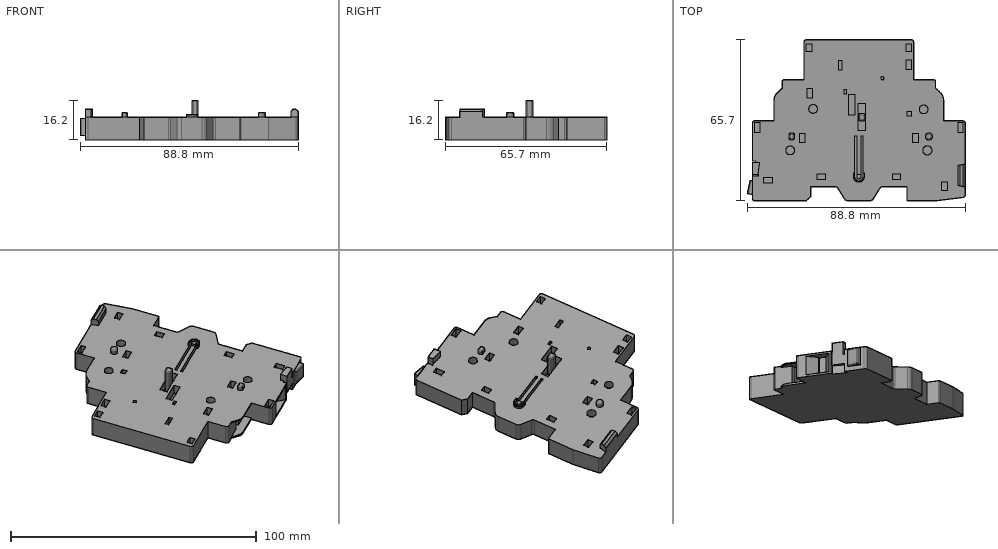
import cadquery as cq


thickness = 9.3
depth = 65.7
base_width = 86.75
base_half = base_width / 2
base_top = 32.7
middle_width = 69.2
middle_half = middle_width / 2
middle_top = 42.7
neck_width = 62.6
neck_half = neck_width / 2
neck_bottom = middle_top + (middle_half - neck_half)
neck_top = 49.5
head_half = 22.4
foot_inner = 19.5
foot_height = 5.8
foot_chamfer = 1.9
foot_slope_start = 31.25
foot_slope_rise = 1.5
tooth_root_half = 9.0
tooth_tip_half = 5.4
corner_radius = 1.1
shoulder_radius = 4.0
tooth_tip_radius = 2.1
tooth_root_radius = 1.1
foot_edge_radius = 0.4

pocket_depth = 4.4
pockets = [
    (-20.3, 62.4, 2.3, 3.1),
    (20.3, 62.4, 2.3, 3.1),
    (20.3, 55.4, 2.3, 3.9),
    (-7.55, 55.2, 1.5, 4.0),
    (-20.1, 43.9, 2.3, 3.9),
    (-5.6, 44.5, 1.0, 1.8),
    (-2.8, 39.25, 2.7, 8.35),
    (20.5, 35.5, 1.95, 1.95),
    (-41.4, 29.9, 2.3, 3.9),
    (41.4, 29.9, 2.0, 3.9),
    (-23.1, 25.7, 2.3, 3.7),
    (23.1, 25.7, 2.3, 3.7),
    (-15.4, 9.9, 3.4, 2.3),
    (15.4, 9.9, 3.4, 2.3),
    (-36.9, 8.4, 3.7, 2.3),
    (34.9, 6.0, 2.3, 3.5),
]
round_holes = [
    (-18.65, 37.5, 3.55),
    (26.4, 37.3, 3.55),
    (-28.0, 20.6, 3.55),
    (27.9, 20.6, 3.7),
    (9.6, 50.0, 1.3),
]

post_x = 1.2
post_y = 34.1
post_width = 2.6
post_length = 2.9
post_top = 16.2
post_side_radius = 0.6
post_top_radius = 0.5
slot_width = 3.1
slot_length = 11.0

tongue_y = 9.9
tongue_half = 0.84
groove_outer = 1.7
groove_top = 26.4
collar_radius = 2.2
collar_top_y = 11.4
button_top_y = 10.7
button_height = 1.1

pin_y = 26.3
left_pin_x = -27.35
right_pin_x = 28.5
pin_diameter = 2.9
flat_pin_width = 2.1
pin_height = 1.95
pin_edge_radius = 0.5

clip_top = 12.6
clip_shoulder = 11.6
wall_floor = 0.8
lower_opening_top = 8.5
shoulder_opening_top = 8.8
notch_top = 40.9
notch_bottom = 38.45
notch_depth = 2.7
relief_top = 16.25
relief_bottom = 10.1
left_clip_top = 15.7
left_clip_bottom = 10.7
left_clip_base = 3.4
left_clip_foot_top = 7.4
key_bottom = 1.9
key_top = 8.9
key_edge_radius = 0.4


def block(x_min, x_max, y_min, y_max, z_min, z_max):
    """Box given by its limits."""
    box = cq.Workplane("XY").box(x_max - x_min, y_max - y_min, z_max - z_min, centered=False)
    return box.translate((x_min, y_min, z_min))


def prism(points, z_min, z_max):
    """Upright prism over a polygon in plan."""
    return cq.Workplane("XY").workplane(offset=z_min).polyline(points).close().extrude(z_max - z_min)


def cylinder(x, y, radius, z_min, z_max):
    """Upright cylinder."""
    return cq.Workplane("XY").workplane(offset=z_min).center(x, y).circle(radius).extrude(z_max - z_min)


def round_corners(body, corners, radius):
    """Fillet the upright edges of the housing at the given plan positions."""
    for x, y in corners:
        edge = cq.selectors.NearestToPointSelector((x, y, thickness / 2))
        body = body.edges("|Z").edges(edge).fillet(radius)
    return body


def make_housing():
    outline = [
        (-base_half, 0),
        (-foot_inner - foot_chamfer, 0),
        (-foot_inner, foot_chamfer),
        (-foot_inner, foot_height),
        (-tooth_root_half, foot_height),
        (-tooth_tip_half, 0),
        (tooth_tip_half, 0),
        (tooth_root_half, foot_height),
        (foot_inner, foot_height),
        (foot_inner, 0),
        (foot_slope_start, 0),
        (base_half, foot_slope_rise),
        (base_half, base_top),
        (middle_half, base_top),
        (middle_half, middle_top),
        (neck_half, neck_bottom),
        (neck_half, neck_top),
        (head_half, neck_top),
        (head_half, depth),
        (-head_half, depth),
        (-head_half, neck_top),
        (-neck_half, neck_top),
        (-neck_half, neck_bottom),
        (-middle_half, middle_top),
        (-middle_half, base_top),
        (-base_half, base_top),
    ]
    body = prism(outline, 0, thickness)
    body = round_corners(body, [(-base_half, 0), (base_half, foot_slope_rise)], corner_radius)
    body = round_corners(body, [(foot_inner, 0)], foot_edge_radius)
    stage_corners = [(base_half, base_top), (neck_half, neck_top), (head_half, depth)]
    for side in (-1, 1):
        for half_width, top in stage_corners:
            body = round_corners(body, [(side * half_width, top)], corner_radius)
        body = round_corners(body, [(side * middle_half, middle_top)], shoulder_radius)
        body = round_corners(body, [(side * tooth_tip_half, 0)], tooth_tip_radius)
        body = round_corners(body, [(side * tooth_root_half, foot_height)], tooth_root_radius)
    return body


def cut_pockets(body):
    floor = thickness - pocket_depth
    slot = (post_x, post_y, slot_width, slot_length)
    for x, y, width, length in pockets + [slot]:
        pocket = cq.Workplane("XY").workplane(offset=floor).center(x, y).rect(width, length)
        body = body.cut(pocket.extrude(pocket_depth))
    for x, y, diameter in round_holes:
        body = body.cut(cylinder(x, y, diameter / 2, floor, thickness))
    return body


def tongue_shape(half_width, y_top, z_min, z_max):
    """Strip with a half-round lower end centred on the tongue end."""
    sketch = cq.Workplane("XY").workplane(offset=z_min).moveTo(-half_width, y_top)
    sketch = sketch.lineTo(-half_width, tongue_y)
    sketch = sketch.threePointArc((0, tongue_y - half_width), (half_width, tongue_y))
    return sketch.lineTo(half_width, y_top).close().extrude(z_max - z_min)


def add_tongue(body):
    floor = thickness - pocket_depth
    top = thickness + button_height
    body = body.union(tongue_shape(collar_radius, collar_top_y, thickness, top))
    groove = tongue_shape(groove_outer, groove_top, floor, top)
    groove = groove.cut(tongue_shape(tongue_half, groove_top, floor, thickness))
    groove = groove.cut(tongue_shape(tongue_half, button_top_y, thickness, top))
    return body.cut(groove)


def make_post():
    base = thickness - pocket_depth
    post = cq.Workplane("XY").workplane(offset=base).center(post_x, post_y)
    post = post.rect(post_width, post_length).extrude(post_top - base)
    return post.edges("|Z").fillet(post_side_radius).faces(">Z").edges().fillet(post_top_radius)


def make_round_pin(x):
    pin = cylinder(x, pin_y, pin_diameter / 2, thickness, thickness + pin_height)
    return pin.faces(">Z").edges().fillet(pin_edge_radius)


def make_flat_pin(x):
    """Round pin with a flat on each side, the flats rounded off like the round end."""
    half_width = flat_pin_width / 2
    radius = pin_diameter / 2
    top = thickness + pin_height
    flats = block(x - half_width, x + half_width, pin_y - radius, pin_y + radius, thickness, top)
    flats = flats.faces(">Z").edges("|Y").fillet(pin_edge_radius)
    return make_round_pin(x).intersect(flats)


def make_right_clip():
    """Roof-shaped ridge whose ends taper in plan towards the middle of the housing."""
    inner = 40.3
    ridge_inner = 41.1
    ridge_outer = 42.35
    outer_y = (5.7, 15.0)
    inner_y = (6.3, 14.5)
    profile = [
        (inner, thickness),
        (inner, clip_shoulder),
        (ridge_inner, clip_top),
        (ridge_outer, clip_top),
        (base_half, clip_shoulder),
        (base_half, thickness),
    ]
    ridge = cq.Workplane("XZ").polyline(profile).close().extrude(-base_top)
    plan = [(base_half, outer_y[0]), (base_half, outer_y[1]), (inner, inner_y[1]), (inner, inner_y[0])]
    return ridge.intersect(prism(plan, thickness, clip_top))


def cut_shoulder_opening(body):
    """Open the left shoulder between thin upper and lower plates, with a notch in the wall behind."""
    opening = block(-middle_half, -neck_half, base_top, neck_bottom, wall_floor, shoulder_opening_top)
    notch_end = notch_depth - neck_half
    notch = block(-neck_half, notch_end, notch_bottom, notch_top, wall_floor, shoulder_opening_top)
    return body.cut(opening).cut(notch)


def cut_lower_opening(body):
    """Funnel-shaped pocket in the lower left wall."""
    mouth_y = (17.3, 27.8)
    back_y = (21.2, 24.2)
    ledge_x = -39.3
    back_x = -38.45
    plan = [
        (-base_half, mouth_y[1]),
        (ledge_x, back_y[1]),
        (back_x, back_y[1]),
        (back_x, back_y[0]),
        (-base_half, mouth_y[0]),
    ]
    return body.cut(prism(plan, wall_floor, lower_opening_top))


def add_left_clip(body):
    """Clip standing in a clearance that passes through the left wall."""
    relief_back_top = -42.0
    relief_back_bottom = -40.9
    clip_back_top = -40.4
    clip_back_bottom = -41.1
    relief = [
        (-base_half, relief_top),
        (relief_back_top, relief_top),
        (relief_back_bottom, relief_bottom),
        (-base_half, relief_bottom),
    ]
    clip = [
        (-base_half, left_clip_top),
        (clip_back_top, left_clip_top),
        (clip_back_bottom, left_clip_bottom),
        (-base_half, left_clip_bottom),
    ]
    foot_plan = [
        (-base_half, left_clip_bottom),
        (relief_back_bottom, left_clip_bottom),
        (relief_back_bottom, relief_bottom),
        (-base_half, relief_bottom),
    ]
    body = body.cut(prism(relief, 0, thickness))
    body = body.union(prism(clip, left_clip_base, clip_top))
    return body.union(prism(foot_plan, left_clip_base, left_clip_foot_top))


def make_key():
    """Wedge on the left wall, thicker at its lower end."""
    wall_y = (2.7, 8.4)
    tip_y = (2.9, 8.3)
    reach = (2.1, 1.0)
    plan = [
        (-base_half, wall_y[0]),
        (-base_half - reach[0], tip_y[0]),
        (-base_half - reach[1], tip_y[1]),
        (-base_half, wall_y[1]),
    ]
    return prism(plan, key_bottom, key_top).faces("<X").edges().fillet(key_edge_radius)


result = make_housing()
result = cut_pockets(result)
result = add_tongue(result)
result = cut_shoulder_opening(result)
result = cut_lower_opening(result)
result = add_left_clip(result)
pins = [make_round_pin(right_pin_x), make_flat_pin(left_pin_x)]
for feature in [make_post(), make_right_clip(), make_key()] + pins:
    result = result.union(feature)